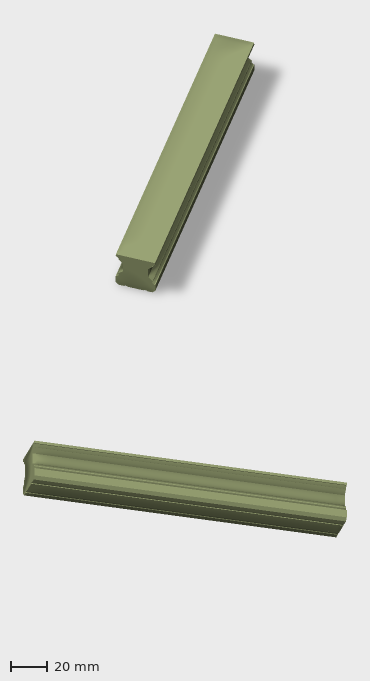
import cadquery as cq

length = 180.0
width = 23.0
height = 23.5

half_width = width / 2
neck_half = 7.4
neck_bottom_z = 11.3
neck_top_z = 17.6

base_chamfer = 1.71
shoulder_z = 6.3
shoulder_half = 11.0

lower_step_half = 10.0
lower_step_top_z = 8.8
lower_step_bottom_z = 8.3
lower_notch_half = 9.5
lower_notch_z = 7.7

upper_step_half = 10.0
upper_step_z = 20.2
upper_notch_half = 9.5
upper_notch_z = 20.5

head_edge_z = 22.0
head_lip_half = 11.0
head_taper = 0.13
head_top_half = half_width - head_taper

groove_offset = 5.5
groove_width = 2.0
groove_depth = 0.45

cap_count = 6
cap_pitch = length / cap_count
cap_diameter = 11.0
cap_thickness = 1.8


def mirrored_outline(right_side):
    """Close a half outline, listed from bottom to top, with its mirror image."""
    left_side = [(-x, z) for x, z in reversed(right_side)]
    return right_side + left_side


def make_rail():
    right_side = [
        (half_width - base_chamfer, 0),
        (half_width, base_chamfer),
        (half_width, shoulder_z),
        (shoulder_half, shoulder_z),
        (lower_notch_half, lower_notch_z),
        (lower_step_half, lower_step_bottom_z),
        (lower_step_half, lower_step_top_z),
        (neck_half, neck_bottom_z),
        (neck_half, neck_top_z),
        (upper_step_half, upper_step_z),
        (upper_notch_half, upper_notch_z),
        (head_lip_half, head_edge_z),
        (half_width, head_edge_z),
        (head_top_half, height),
    ]
    profile = cq.Workplane("XZ").polyline(mirrored_outline(right_side)).close()
    return profile.extrude(length / 2, both=True)


def make_base_grooves():
    return (
        cq.Workplane("XY")
        .pushPoints([(-groove_offset, 0), (groove_offset, 0)])
        .rect(groove_width, length)
        .extrude(groove_depth)
    )


def make_caps():
    return (
        cq.Workplane("XY", origin=(0, 0, height - cap_thickness))
        .rarray(1.8, cap_pitch, 1, cap_count)
        .circle(cap_diameter / 2)
        .extrude(cap_thickness)
    )


rail = make_rail().cut(make_base_grooves())

caps = make_caps()
result = rail.cut(caps).union(caps, clean=False)